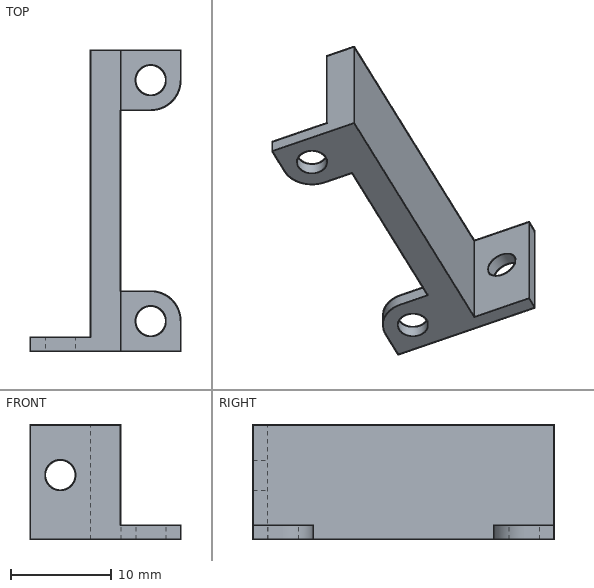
import cadquery as cq

length = 30.0
height = 11.4

plate_thickness = 1.4

wall_thickness = 3.0

flange_reach = 6.0

tab_size = 6.0
tab_corner_radius = tab_size / 2

hole_diameter = 3.0

wall_outer_x = flange_reach + wall_thickness
flange_hole_height = (plate_thickness + height) / 2


def make_wall():
    return (
        cq.Workplane("XY")
        .box(wall_thickness, length, height, centered=False)
        .translate((flange_reach, 0, 0))
    )


def make_flange():
    """Thin plate across the -Y end, with a hole through it along Y."""
    plate = cq.Workplane("XY").box(wall_outer_x, plate_thickness, height, centered=False)
    hole = (
        cq.Workplane("XZ")
        .center(flange_reach / 2, flange_hole_height)
        .circle(hole_diameter / 2)
        .extrude(-plate_thickness)
    )
    return plate.cut(hole)


def make_tab(start_y, rounded_side):
    """Flat tab with its outer corner on the given Y side rounded around the hole."""
    return (
        cq.Workplane("XY")
        .box(tab_size, tab_size, plate_thickness, centered=False)
        .edges(f"|Z and >X and {rounded_side}")
        .fillet(tab_corner_radius)
        .faces(">Z")
        .workplane(origin=(tab_size / 2, tab_size / 2, plate_thickness))
        .hole(hole_diameter)
        .translate((wall_outer_x, start_y, 0))
    )


result = make_wall().union(make_flange())
for start_y, rounded_side in ((0, ">Y"), (length - tab_size, "<Y")):
    result = result.union(make_tab(start_y, rounded_side))